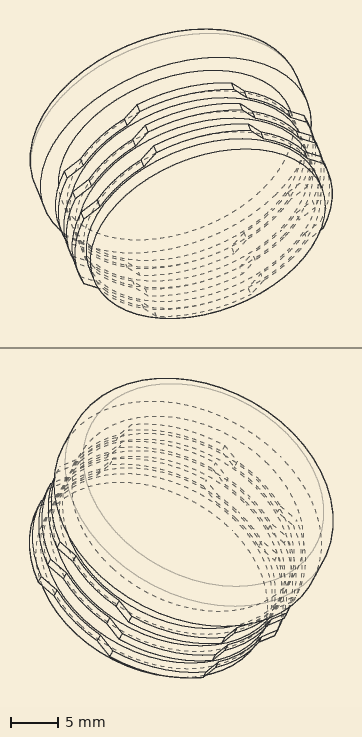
import cadquery as cq
import math


head_diameter = 30.0
head_length = 5.0
head_edge_radius = 1.5

body_diameter = 26.0
body_length = 11.5

rib_diameter = 28.5
rib_width = 1.0
rib_pitch = 3.0
rib_count = 3
first_rib_gap = 3.0

notch_count = 4
notch_floor_diameter = 26.5
notch_floor_half_angle = 15.0
notch_mouth_half_angle = 23.5


def disc(start_x, diameter, length):
    return cq.Workplane("YZ", origin=(start_x, 0, 0)).circle(diameter / 2).extrude(length)


def polar(diameter, angle):
    radius = diameter / 2
    return (radius * math.cos(math.radians(angle)), radius * math.sin(math.radians(angle)))


def make_head():
    return disc(0, head_diameter, head_length).faces("<X").edges().fillet(head_edge_radius)


def make_rib(start_x):
    """Ring outline with raised arcs, ramping down to the notch floors between them."""
    spacing = 360.0 / notch_count
    first_notch = spacing / 2
    outline = cq.Workplane("YZ", origin=(start_x, 0, 0)).moveTo(
        *polar(rib_diameter, first_notch - notch_mouth_half_angle)
    )
    for index in range(notch_count):
        notch = first_notch + index * spacing
        next_notch = notch + spacing
        outline = (
            outline.lineTo(*polar(notch_floor_diameter, notch - notch_floor_half_angle))
            .threePointArc(
                polar(notch_floor_diameter, notch),
                polar(notch_floor_diameter, notch + notch_floor_half_angle),
            )
            .lineTo(*polar(rib_diameter, notch + notch_mouth_half_angle))
            .threePointArc(
                polar(rib_diameter, notch + spacing / 2),
                polar(rib_diameter, next_notch - notch_mouth_half_angle),
            )
        )
    return outline.close().extrude(rib_width)


result = make_head().union(disc(head_length, body_diameter, body_length))
for rib_index in range(rib_count):
    rib_start = head_length + first_rib_gap + rib_index * rib_pitch
    result = result.union(make_rib(rib_start))